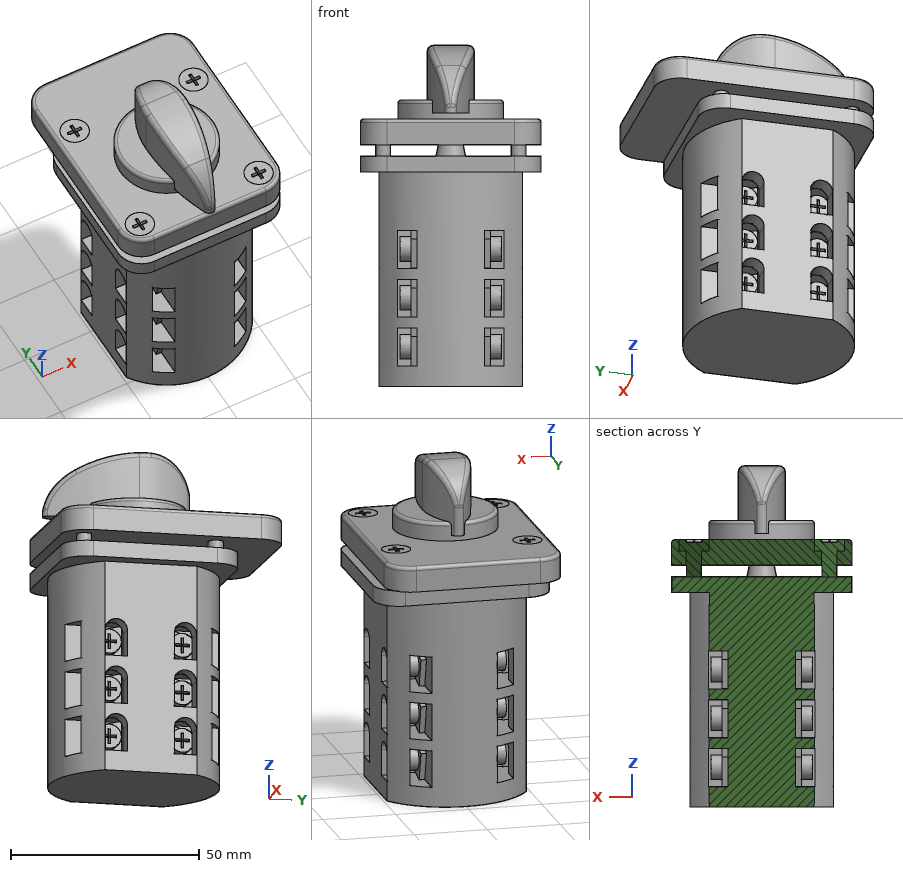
import cadquery as cq
import math


flange_size = 48.0
corner_radius = 7.1
flange_bottom = 56.9
flange_top = 61.2
panel_bottom = 64.2
panel_top = 71.1
panel_length = 60.1
panel_edge_fillet = 1.0

barrel_diameter = 45.7
barrel_width = 38.2

neck_bottom_diameter = 7.9
neck_top_diameter = 6.7

chamber_floors = [5.4, 18.4, 31.4]
chamber_height = 10.1
chamber_inner_x = 9.0
chamber_outer_x = 14.1
slot_inner_y = 6.0
window_inner_y = 6.4
window_width = 6.0

plate_thickness = 1.5
plate_width = 8.0
plate_tilt = 14.0
plate_tip_y = 15.3
plate_tip_height = 7.8
terminal_y = 10.0
terminal_rise = 5.2
terminal_head_diameter = 6.5
terminal_head_height = 2.9

screw_spacing = 36.0
screw_head_diameter = 7.8
screw_head_height = 3.0
screw_shank_diameter = 4.0

cross_length = 4.0
cross_width = 0.7
cross_depth = 0.7

disc_diameter = 28.1
disc_top = 76.1
disc_edge_fillet = 1.0
grip_bottom = 72.6
grip_top = 90.6
grip_half_width = 6.25
grip_front_reach = 24.9
grip_back_reach = 15.2
grip_tip_radius = 1.6
grip_edge_fillet = 1.5
grip_nose_overrun = 0.3
grip_back_overrun = 0.2
grip_peak_y = 3.2
grip_shoulder_y = -16.9
grip_crown_radius = 40.15

screw_offset = screw_spacing / 2
panel_center_y = (panel_length - flange_size) / 2
plate_outer_x = chamber_inner_x + plate_thickness
window_center_y = window_inner_y + window_width / 2


def rounded_plate(length, center_y, bottom, top):
    """Plate as wide as the flange, with rounded vertical corners."""
    return (
        cq.Workplane("XY", origin=(0, center_y, bottom))
        .rect(flange_size, length)
        .extrude(top - bottom)
        .edges("|Z")
        .fillet(corner_radius)
    )


def cross_recess(plane):
    """Two crossed V-grooves, cut downwards from the origin of the plane."""
    half_width = cross_width / 2
    groove = (
        cq.Workplane("XZ", origin=(0, cross_length / 2, 0))
        .polyline([(-half_width, 0), (half_width, 0), (0, -cross_depth)])
        .close()
        .extrude(cross_length)
    )
    cross = groove.union(groove.rotate((0, 0, 0), (0, 0, 1), 90))
    return cross.val().located(cq.Location(plane))


def barrel():
    """Round barrel with a flat on each X side."""
    flats = cq.Workplane("XY").rect(barrel_width, barrel_diameter).extrude(flange_bottom)
    return cq.Workplane("XY").circle(barrel_diameter / 2).extrude(flange_bottom).intersect(flats)


def neck():
    """Tapered boss that carries the panel."""
    return (
        cq.Workplane("XY", origin=(0, 0, flange_top))
        .circle(neck_bottom_diameter / 2)
        .workplane(offset=panel_bottom - flange_top)
        .circle(neck_top_diameter / 2)
        .loft()
    )


def chamber_space(floor):
    """Wire slot open on the +Y side, joined to an arched window open on the +X side."""
    slot_width = chamber_outer_x - chamber_inner_x
    slot_length = barrel_diameter / 2 - slot_inner_y
    slot = cq.Workplane("XY").box(slot_width, slot_length, chamber_height, centered=False)
    slot = slot.translate((chamber_inner_x, slot_inner_y, floor))

    arch_radius = window_width / 2
    arch_base = chamber_height - arch_radius
    window = (
        cq.Workplane("YZ", origin=(chamber_inner_x, window_center_y, floor))
        .moveTo(-arch_radius, 0)
        .lineTo(arch_radius, 0)
        .lineTo(arch_radius, arch_base)
        .threePointArc((0, chamber_height), (-arch_radius, arch_base))
        .close()
        .extrude(barrel_width / 2 - chamber_inner_x)
    )
    return slot.union(window)


def contact_plate(floor):
    """Plate on the chamber's inner wall, rising towards the middle of the barrel."""
    length = barrel_diameter / 2
    return (
        cq.Workplane("XY")
        .box(plate_thickness, length, plate_width, centered=False)
        .translate((0, -length, -plate_width))
        .rotate((0, 0, 0), (1, 0, 0), -plate_tilt)
        .translate((chamber_inner_x, plate_tip_y, floor + plate_tip_height))
    )


def terminal_screw(floor):
    """Screw head standing on the contact plate, facing +X."""
    height = floor + terminal_rise
    head = (
        cq.Workplane("YZ", origin=(plate_outer_x, terminal_y, height))
        .circle(terminal_head_diameter / 2)
        .extrude(terminal_head_height)
    )
    head_face = cq.Plane(
        origin=(plate_outer_x + terminal_head_height, terminal_y, height),
        xDir=(0, 1, 0),
        normal=(1, 0, 0),
    )
    return head.cut(cq.Workplane(cross_recess(head_face)))


def chamber_void(floor):
    """What a chamber removes from the barrel, leaving its plate and screw standing."""
    return chamber_space(floor).cut(contact_plate(floor)).cut(terminal_screw(floor))


def make_housing():
    body = barrel()
    for floor in chamber_floors:
        right_back = chamber_void(floor)
        right_front = right_back.mirror("XZ")
        for void in (right_back, right_front):
            body = body.cut(void).cut(void.mirror("YZ"))
    flange = rounded_plate(flange_size, 0, flange_bottom, flange_top)
    return body.union(flange).union(neck())


def knob_disc():
    return (
        cq.Workplane("XY", origin=(0, 0, panel_top))
        .circle(disc_diameter / 2)
        .extrude(disc_top - panel_top)
        .faces(">Z")
        .edges()
        .fillet(disc_edge_fillet)
    )


def grip_end(reach):
    """Outline points from the grip's widest place to its tip, on the +X side.

    A side arc, square to the X axis at the widest place, runs into a smaller tip arc.
    Returns the middle and end of the side arc, as (x, distance along Y).
    """
    tip_center = reach - grip_tip_radius
    side_radius = (tip_center**2 + grip_half_width**2 - grip_tip_radius**2) / (
        2 * (grip_half_width - grip_tip_radius)
    )
    side_center = grip_half_width - side_radius
    sweep = math.asin(tip_center / (side_radius - grip_tip_radius))
    return [
        (side_center + side_radius * math.cos(angle), side_radius * math.sin(angle))
        for angle in (sweep / 2, sweep)
    ]


def grip_plan():
    """Pointed oval prism, broadest on the knob axis, with rounded tips."""
    (front_mid_x, front_mid_y), (front_x, front_y) = grip_end(grip_front_reach)
    (back_mid_x, back_mid_y), (back_x, back_y) = grip_end(grip_back_reach)
    return (
        cq.Workplane("XY", origin=(0, 0, grip_bottom))
        .moveTo(front_x, -front_y)
        .threePointArc((front_mid_x, -front_mid_y), (grip_half_width, 0))
        .threePointArc((back_mid_x, back_mid_y), (back_x, back_y))
        .threePointArc((0, grip_back_reach), (-back_x, back_y))
        .threePointArc((-back_mid_x, back_mid_y), (-grip_half_width, 0))
        .threePointArc((-front_mid_x, -front_mid_y), (-front_x, -front_y))
        .threePointArc((0, -grip_front_reach), (front_x, -front_y))
        .close()
        .extrude(grip_top - grip_bottom)
    )


def grip_profile():
    """Side outline of the grip: round back, long crown and rounded nose.

    Both ends run a little past the tips of the plan, so the tips keep their full reach.
    """
    front_end = -grip_front_reach - grip_nose_overrun
    back_end = grip_back_reach + grip_back_overrun
    back_radius = back_end - grip_peak_y
    back_center_z = grip_top - back_radius
    diagonal = back_radius * math.sqrt(0.5)
    crown_run = grip_peak_y - grip_shoulder_y
    crown_drop = grip_crown_radius - math.sqrt(grip_crown_radius**2 - crown_run**2)
    half_run = crown_run / 2
    half_drop = grip_crown_radius - math.sqrt(grip_crown_radius**2 - half_run**2)
    return (
        cq.Workplane("YZ", origin=(-grip_half_width, 0, 0))
        .moveTo(front_end, grip_bottom)
        .lineTo(back_end, grip_bottom)
        .lineTo(back_end, back_center_z)
        .threePointArc(
            (grip_peak_y + diagonal, back_center_z + diagonal), (grip_peak_y, grip_top)
        )
        .threePointArc(
            (grip_peak_y - half_run, grip_top - half_drop), (grip_shoulder_y, grip_top - crown_drop)
        )
        .tangentArcPoint((front_end, grip_bottom), relative=False)
        .close()
        .extrude(2 * grip_half_width)
    )


def knob_grip():
    """Plan and side outline combined, with the edge along the crown rounded."""
    sharp = grip_plan().intersect(grip_profile())
    return sharp.edges("%BSPLINE").fillet(grip_edge_fillet)


def screw_spots():
    return [(x, y) for x in (-screw_offset, screw_offset) for y in (-screw_offset, screw_offset)]


def make_panel():
    """Panel with the knob on it and a counterbored hole for each screw."""
    panel = rounded_plate(panel_length, panel_center_y, panel_bottom, panel_top)
    panel = panel.faces(">Z").edges().fillet(panel_edge_fillet)
    for x, y in screw_spots():
        panel = panel.cut(screw_blank(x, y))
    return panel.union(knob_disc()).union(knob_grip())


def screw_blank(x, y):
    """Flush screw head on a shank that stands on the flange."""
    shank = (
        cq.Workplane("XY", origin=(x, y, flange_top))
        .circle(screw_shank_diameter / 2)
        .extrude(panel_top - flange_top)
    )
    head = (
        cq.Workplane("XY", origin=(x, y, panel_top - screw_head_height))
        .circle(screw_head_diameter / 2)
        .extrude(screw_head_height)
    )
    return shank.union(head)


def make_screw(x, y):
    head_face = cq.Plane(origin=(x, y, panel_top))
    return screw_blank(x, y).cut(cq.Workplane(cross_recess(head_face)))


housing = make_housing()
panel = make_panel()
screws = [make_screw(x, y) for x, y in screw_spots()]

result = cq.Compound.makeCompound([housing.val(), panel.val(), *[screw.val() for screw in screws]])